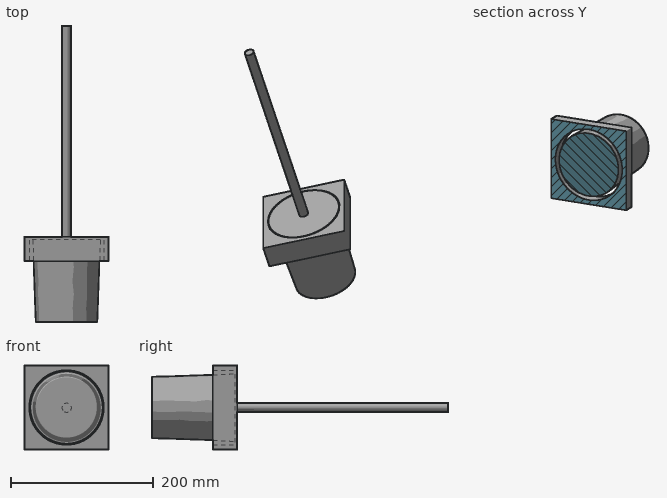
import cadquery as cq
import math

frame_side = 118.0
frame_depth = 34.0
frame_edge_radius = 1.0
opening_radius = 52.0

flange_clearance = 1.0
flange_thickness = 3.0
flange_radius = opening_radius - flange_clearance
flange_front = frame_depth - flange_thickness

cup_reach = 85.5
cup_end_radius = 43.3
cup_draft = 2.0
cup_length = cup_reach + flange_front
cup_root_radius = cup_end_radius + cup_length * math.tan(math.radians(cup_draft))
cup_fillet_radius = 1.5

overall_length = 415.3
rod_diameter = 13.0
rod_length = overall_length - cup_reach - frame_depth


def circle_at(y, radius):
    """Circle around the Y axis at the given Y; a negative extrusion runs toward +Y."""
    return cq.Workplane("XZ", origin=(0, y, 0)).circle(radius)


def make_frame():
    """Square block with a round through opening, rounded except around its back face."""
    block = cq.Workplane("XY").box(frame_side, frame_depth, frame_side)
    block = block.translate((0, frame_depth / 2, 0))
    block = block.edges("|Y or <Y").fillet(frame_edge_radius)
    return block.cut(circle_at(0, opening_radius).extrude(-frame_depth))


def make_cup():
    """Solid tapered cup with a thin flange; its end, root and flange rim share one fillet."""
    flange = circle_at(flange_front, flange_radius).extrude(-flange_thickness)
    cone = circle_at(flange_front, cup_root_radius).extrude(cup_length, taper=cup_draft)
    cup = flange.union(cone)
    return cup.edges("%CIRCLE and (not >Y)").fillet(cup_fillet_radius)


def make_rod():
    return circle_at(frame_depth, rod_diameter / 2).extrude(-rod_length)


frame = make_frame()
cup = make_cup()
rod = make_rod()

result = cq.Compound.makeCompound([frame.val(), cup.val(), rod.val()])